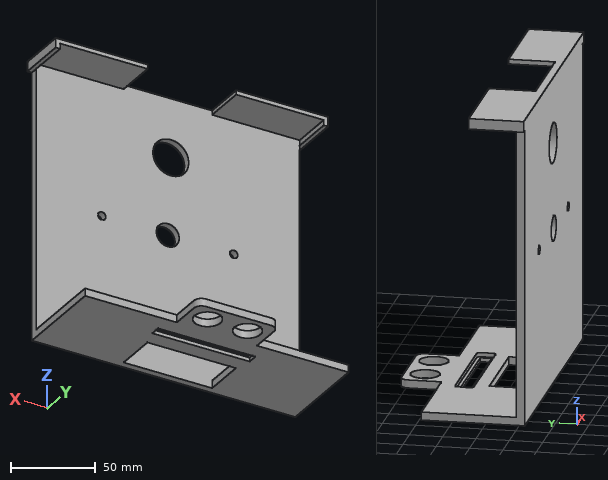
import cadquery as cq

height = 188.0
plate_width = 180.0
plate_thickness = 5.0

flange_width = 186.0
flange_depth = 33.0
flange_thickness = 3.0
lip_height = 6.5
notch_width = 60.3

overall_depth = 87.0
shelf_depth = 62.0
tab_width = 54.7
tab_radius = 5.0
tab_hole_diameter = 17.5
tab_hole_spacing = 27.3
tab_hole_y = 74.5

window_back_y = 32.7

slot_length = 66.4
slot_width = 6.8
slot_y = 47.0
recess_margin = 2.3
recess_depth = plate_thickness / 2

large_hole_diameter = 24.3
large_hole_x = -2.0
large_hole_z = height - 40.0
center_hole_diameter = 15.5
screw_hole_diameter = 5.3
screw_hole_spacing = 90.0
hole_row_z = height - 93.0


def block(width, y_start, y_end, z_start, z_end):
    """Box centered on X = 0 between the given Y and Z limits."""
    size_y = y_end - y_start
    size_z = z_end - z_start
    box = cq.Workplane("XY").box(width, size_y, size_z, centered=(True, False, False))
    return box.translate((0, y_start, z_start))


def plate_hole(diameter, x, z):
    """Cylinder that cuts through the upright plate along Y."""
    workplane = cq.Workplane("XZ").center(x, z)
    return workplane.circle(diameter / 2).extrude(-plate_thickness)


def make_flange():
    """Notched top flange; its lips fill the overhang beyond the plate sides."""
    flange = block(flange_width, 0, flange_depth, height - lip_height, height)
    space_between_lips = block(
        plate_width, 0, flange_depth, height - lip_height, height - flange_thickness
    )
    notch = block(
        notch_width, plate_thickness, flange_depth, height - flange_thickness, height
    )
    return flange.cut(space_between_lips).cut(notch)


def make_upright():
    plate = block(plate_width, 0, plate_thickness, 0, height).union(make_flange())
    plate = plate.cut(plate_hole(large_hole_diameter, large_hole_x, large_hole_z))
    plate = plate.cut(plate_hole(center_hole_diameter, 0, hole_row_z))
    for side in (-1, 1):
        screw_x = side * screw_hole_spacing / 2
        plate = plate.cut(plate_hole(screw_hole_diameter, screw_x, hole_row_z))
    return plate


def make_tab():
    tab = block(tab_width, shelf_depth, overall_depth, 0, plate_thickness)
    tab = tab.edges("|Z and >Y").fillet(tab_radius)
    hole_centers = [(side * tab_hole_spacing / 2, tab_hole_y) for side in (-1, 1)]
    holes = (
        cq.Workplane("XY")
        .pushPoints(hole_centers)
        .circle(tab_hole_diameter / 2)
        .extrude(plate_thickness)
    )
    return tab.cut(holes)


def make_slot_cutter():
    slot = block(
        slot_length, slot_y - slot_width / 2, slot_y + slot_width / 2, 0, plate_thickness
    )
    recess_back_y = slot_y + slot_width / 2 + recess_margin
    recess_front_y = slot_y - slot_width / 2 - recess_margin
    recess = block(
        slot_length + 2 * recess_margin,
        recess_front_y,
        recess_back_y,
        plate_thickness - recess_depth,
        plate_thickness,
    )
    return slot.union(recess.edges("|Z").fillet(recess_margin))


def make_shelf():
    shelf = block(plate_width, 0, shelf_depth, 0, plate_thickness)
    window = block(notch_width, plate_thickness, window_back_y, 0, plate_thickness)
    return shelf.union(make_tab()).cut(window).cut(make_slot_cutter())


result = make_upright().union(make_shelf())